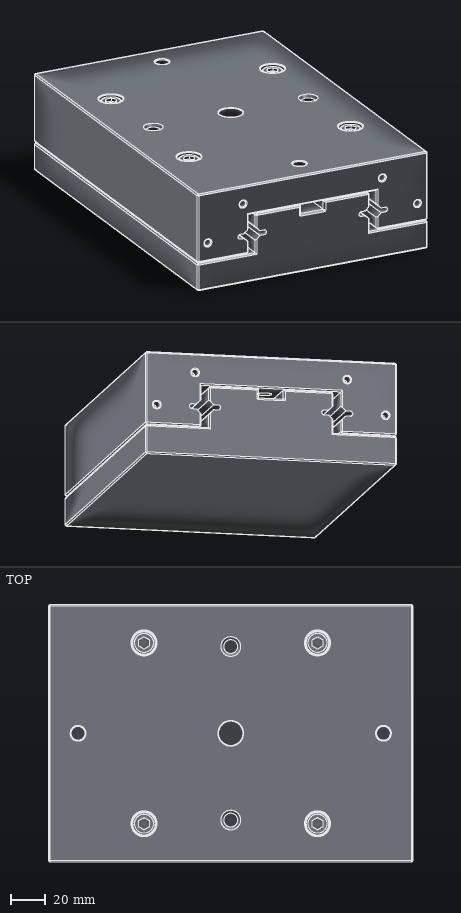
import cadquery as cq
import math

LENGTH = 210.0
WIDTH = 148.5
HEIGHT = 60.0
EDGE_CHAMFER = 0.8

VERTICAL_GAP = 0.52
SIDE_GAP = 4.6
BASE_FLOOR_Z = 17.0
RAIL_TOP_Z = 41.2
CARRIAGE_BOTTOM_Z = BASE_FLOOR_Z + VERTICAL_GAP
CEILING_Z = RAIL_TOP_Z + VERTICAL_GAP
TRACK_Y = 39.0
RAIL_HALF_WIDTH = TRACK_Y - SIDE_GAP / 2
CHANNEL_HALF_WIDTH = TRACK_Y + SIDE_GAP / 2

TRACK_Z = 29.0
GROOVE_HALF_HEIGHT = 4.2
GROOVE_REACH = SIDE_GAP / 2 + GROOVE_HALF_HEIGHT
RELIEF_LENGTH = 18.3
RELIEF_HEIGHT = 3.0

NOTCH_WIDTH = 14.7
NOTCH_FLOOR_Z = 36.0
NOTCH_FLARE = 1.15
FLARE_ANGLE = 45.0

SCREW_X = 50.0
SCREW_Y = 52.0
COUNTERBORE_DIAMETER = 14.0
COUNTERBORE_MOUTH = 15.0
HEAD_DIAMETER = 13.0
HEAD_HEIGHT = 8.0
HEAD_RECESS = 1.0
HEAD_CHAMFER = 1.0
HEX_FLATS = 6.0
HEX_DEPTH = 1.9
HEX_SIDES = 6
HEX_TURN = 30.0

CENTRE_HOLE_DIAMETER = 14.0
CENTRE_HOLE_MOUTH = 14.7
DOWEL_HOLE_X = 88.0
DOWEL_HOLE_DIAMETER = 8.0
DOWEL_HOLE_MOUTH = 9.0
TAPPED_HOLE_Y = 50.0
TAPPED_HOLE_DIAMETER = 8.0
TAPPED_HOLE_MOUTH = 11.3
TAPPED_HOLE_DEPTH = 14.0

END_HOLE_DIAMETER = 4.0
END_HOLE_MOUTH = 5.0
END_HOLE_DEPTH = 10.0
DRILL_POINT_ANGLE = 118.0
UPPER_END_HOLE = (45.0, 49.0)
LOWER_END_HOLE = (67.6, TRACK_Z)


def box_between(width, z_low, z_high):
    """Full-length block centred on the travel axis."""
    return cq.Workplane("XY", origin=(0, 0, z_low)).box(
        LENGTH, width, z_high - z_low, centered=(True, True, False)
    )


def break_edges(body, inner_half_width, inner_z):
    """Chamfer every edge except the long inside corners at the foot of the given step."""

    def is_outside(edge):
        middle = edge.Center()
        at_step = abs(abs(middle.y) - inner_half_width) < EDGE_CHAMFER
        at_level = abs(middle.z - inner_z) < EDGE_CHAMFER
        return not (at_step and at_level)

    return body.edges().filter(is_outside).chamfer(EDGE_CHAMFER)


def make_track_cut():
    """Diamond V-groove and round-ended relief slot on both sides of the rail."""
    cut = cq.Workplane("YZ")
    for side in (-1, 1):
        centre = (-LENGTH / 2, side * TRACK_Y, TRACK_Z)
        start = cq.Workplane("YZ", origin=centre)
        reach = GROOVE_REACH
        diamond = start.polyline([(-reach, 0), (0, reach), (reach, 0), (0, -reach)]).close().extrude(LENGTH)
        relief = start.slot2D(RELIEF_LENGTH, RELIEF_HEIGHT).extrude(LENGTH)
        cut = cut.add(diamond).add(relief)
    return cut.combine()


def make_notch():
    """Rectangular notch cutter, open at the top, flaring outwards at both ends."""
    depth = CEILING_Z - NOTCH_FLOOR_Z
    notch = box_between(NOTCH_WIDTH, NOTCH_FLOOR_Z, CEILING_Z)
    mouth = (
        cq.Workplane("YZ", origin=(LENGTH / 2 - NOTCH_FLARE, 0, CEILING_Z))
        .rect(NOTCH_WIDTH, 2 * depth)
        .extrude(NOTCH_FLARE, taper=-FLARE_ANGLE)
    )
    return notch.union(mouth).union(mouth.mirror("YZ"))


def chamfered_hole(plane, diameter, mouth, depth, tip=0.0):
    """Revolved cutter for a hole going down from the plane, with a 45 degree mouth and optional tip."""
    points = [
        (0, 0),
        (mouth / 2, 0),
        (diameter / 2, (diameter - mouth) / 2),
        (diameter / 2, -depth),
        (0, -depth - tip),
    ]
    profile = cq.Workplane("XZ").polyline(points).close().revolve(360, (0, 0, 0), (0, 1, 0))
    return cq.Workplane(profile.val().moved(plane.location))


def cut_screw(body, x, y):
    """Socket-head screw standing in its counterbore: the clearance ring, head rim and hex socket."""
    head_top = HEIGHT - HEAD_RECESS
    counterbore_floor = head_top - HEAD_HEIGHT
    top_plane = cq.Plane(origin=(x, y, HEIGHT))
    counterbore = chamfered_hole(
        top_plane, COUNTERBORE_DIAMETER, COUNTERBORE_MOUTH, HEIGHT - counterbore_floor
    )
    head = (
        cq.Workplane("XY", origin=(x, y, counterbore_floor))
        .circle(HEAD_DIAMETER / 2)
        .extrude(HEAD_HEIGHT)
        .faces(">Z")
        .chamfer(HEAD_CHAMFER)
    )
    socket = (
        cq.Workplane("XY", origin=(x, y, head_top))
        .transformed(rotate=(0, 0, HEX_TURN))
        .polygon(HEX_SIDES, HEX_FLATS / math.cos(math.pi / HEX_SIDES))
        .extrude(-HEX_DEPTH)
    )
    return body.cut(counterbore.cut(head)).cut(socket)


def cut_top_holes(body):
    """Centre hole and two dowel holes through the top, and two blind tapped holes."""
    depth = HEIGHT - CEILING_Z
    centre_plane = cq.Plane(origin=(0, 0, HEIGHT))
    body = body.cut(chamfered_hole(centre_plane, CENTRE_HOLE_DIAMETER, CENTRE_HOLE_MOUTH, depth))
    for side in (-1, 1):
        dowel_plane = cq.Plane(origin=(side * DOWEL_HOLE_X, 0, HEIGHT))
        body = body.cut(chamfered_hole(dowel_plane, DOWEL_HOLE_DIAMETER, DOWEL_HOLE_MOUTH, depth))
        tapped_plane = cq.Plane(origin=(0, side * TAPPED_HOLE_Y, HEIGHT))
        body = body.cut(
            chamfered_hole(tapped_plane, TAPPED_HOLE_DIAMETER, TAPPED_HOLE_MOUTH, TAPPED_HOLE_DEPTH)
        )
    return body


def cut_end_holes(body):
    """Blind drilled holes in both end faces, in mirrored pairs."""
    tip = END_HOLE_DIAMETER / 2 / math.tan(math.radians(DRILL_POINT_ANGLE / 2))
    for end in (-1, 1):
        for side in (-1, 1):
            for y, z in (UPPER_END_HOLE, LOWER_END_HOLE):
                plane = cq.Plane(origin=(end * LENGTH / 2, side * y, z), xDir=(0, 1, 0), normal=(end, 0, 0))
                body = body.cut(
                    chamfered_hole(plane, END_HOLE_DIAMETER, END_HOLE_MOUTH, END_HOLE_DEPTH, tip)
                )
    return body


def make_base():
    """Flat plate with a raised rail, side grooves and a notch along the rail top."""
    plate = box_between(WIDTH, 0, BASE_FLOOR_Z)
    rail = box_between(2 * RAIL_HALF_WIDTH, BASE_FLOOR_Z, RAIL_TOP_Z)
    body = break_edges(plate.union(rail), RAIL_HALF_WIDTH, BASE_FLOOR_Z)
    return body.cut(make_track_cut()).cut(make_notch())


def make_carriage():
    """Inverted channel over the rail, with its screws and holes."""
    block = box_between(WIDTH, CARRIAGE_BOTTOM_Z, HEIGHT)
    channel = box_between(2 * CHANNEL_HALF_WIDTH, CARRIAGE_BOTTOM_Z, CEILING_Z)
    body = break_edges(block.cut(channel), CHANNEL_HALF_WIDTH, CEILING_Z)
    body = body.cut(make_track_cut())
    for x in (-SCREW_X, SCREW_X):
        for y in (-SCREW_Y, SCREW_Y):
            body = cut_screw(body, x, y)
    return cut_end_holes(cut_top_holes(body))


base = make_base()
carriage = make_carriage()
result = cq.Compound.makeCompound([base.val(), carriage.val()])